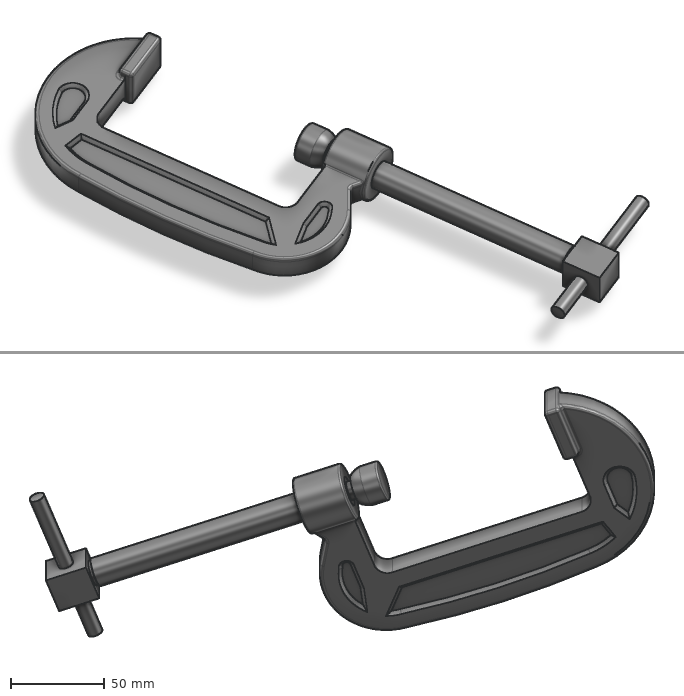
import cadquery as cq
import math


frame_thickness = 15.0
rim_fillet = 2.0
heel_radius = 53.3
heel_center = (heel_radius, -34.0)
heel_end_x = 49.6
throat_left = 37.1
throat_right = 160.6
throat_bottom = -51.4
throat_fillet = 7.5
toe_radius = 35.8
toe_center = (156.6, throat_bottom)
toe_end_x = 157.7
toe_top_angle = 29.0
frame_bottom = -90.0
waist = (180.0, -20.5)
waist_fillet = 2.0
neck_right = 184.5
neck_shoulder = -14.0
neck_top = -8.0

pocket_depth = 2.0
pocket_draft = 45.0
heel_pocket_rim = 9.5
toe_pocket_rim = 10.2
web_pocket_rim = 9.7
web_pocket_top = -61.1
web_pocket_left = 36.0
web_pocket_right = 152.8
heel_pocket_right = 27.4
heel_pocket_shoulder = -40.0
heel_pocket_crown = -31.4
toe_pocket_left = 170.8
toe_pocket_shoulder = -39.5
toe_pocket_crown = -35.8
heel_pocket_tip_angle = 224.5
toe_pocket_tip_angle = -46.5
web_pocket_left_tip = 33.0
web_pocket_right_tip = 165.8
pocket_waist = -55.3

anvil_left = 32.7
anvil_right = 41.4
anvil_length = 32.0
anvil_height = 25.0
anvil_fillet = 2.0
anvil_root_fillet = 2.0

boss_radius = 15.75
boss_left = 158.5
boss_right = 185.5
boss_fillet = 1.0
boss_root_fillet = 1.0
boss_root_top = 13.0

pad_left = 139.0
pad_radius = 11.0
pad_fillet = 1.0
pad_shoulder = 148.8
pad_back = 155.2
pad_back_radius = 8.0
pad_bulge = (152.4, 9.9)
neck_radius = 5.2
screw_radius = 8.0
overall_length = 328.64
head_length = 23.0
head_width = 20.5
relief_length = 1.7
relief_radius = 7.0
bar_diameter = 8.3
bar_top = 55.0
bar_length = 90.0


def on_circle(center, radius, angle):
    """Point on a circle, at an angle in degrees from +X."""
    turn = math.radians(angle)
    return (center[0] + radius * math.cos(turn), center[1] + radius * math.sin(turn))


def circle_at_x(center, radius, x, side):
    """Point of a circle at a given X, on its upper (+1) or lower (-1) half."""
    return (x, center[1] + side * math.sqrt(radius**2 - (x - center[0])**2))


def circle_at_y(center, radius, y, side):
    """Point of a circle at a given Y, on its right (+1) or left (-1) half."""
    return (center[0] + side * math.sqrt(radius**2 - (y - center[1])**2), y)


def make_plate():
    heel_top = circle_at_x(heel_center, heel_radius, anvil_left + anvil_fillet, 1)
    heel_end = circle_at_x(heel_center, heel_radius, heel_end_x, -1)
    toe_start = circle_at_x(toe_center, toe_radius, toe_end_x, -1)
    bottom_middle = ((heel_end_x + toe_end_x) / 2, frame_bottom)
    plate = (
        cq.Workplane("XY", origin=(0, 0, -frame_thickness / 2))
        .moveTo(*heel_top)
        .threePointArc((heel_center[0] - heel_radius, heel_center[1]), heel_end)
        .threePointArc(bottom_middle, toe_start)
        .threePointArc(
            on_circle(toe_center, toe_radius, -toe_top_angle),
            on_circle(toe_center, toe_radius, toe_top_angle),
        )
        .lineTo(*waist)
        .lineTo(neck_right, neck_shoulder)
        .lineTo(neck_right, neck_top)
        .lineTo(heel_top[0], neck_top)
        .close()
        .extrude(frame_thickness)
    )
    plate = plate.edges(cq.NearestToPointSelector((*waist, 0))).fillet(waist_fillet)
    plate = plate.faces("<Z or >Z").edges().fillet(rim_fillet)
    throat = (
        cq.Workplane("XY", origin=(0, 0, -frame_thickness / 2))
        .moveTo(throat_left, throat_bottom)
        .lineTo(throat_right, throat_bottom)
        .lineTo(throat_right, boss_radius)
        .lineTo(throat_left, boss_radius)
        .close()
        .extrude(frame_thickness)
        .edges("|Z and <Y")
        .fillet(throat_fillet)
    )
    return plate.cut(throat)


def heel_pocket_outline(plane):
    inner_radius = heel_radius - heel_pocket_rim
    left_shoulder = circle_at_y(heel_center, inner_radius, heel_pocket_shoulder, -1)
    tip = on_circle(heel_center, inner_radius, heel_pocket_tip_angle)
    side_angle = (180 + math.degrees(math.asin(
        (heel_center[1] - heel_pocket_shoulder) / inner_radius)) + heel_pocket_tip_angle) / 2
    crown = ((left_shoulder[0] + heel_pocket_right) / 2, heel_pocket_crown)
    return (
        plane.moveTo(*tip)
        .lineTo(heel_pocket_right, pocket_waist)
        .lineTo(heel_pocket_right, heel_pocket_shoulder)
        .threePointArc(crown, left_shoulder)
        .threePointArc(on_circle(heel_center, inner_radius, side_angle), tip)
        .close()
    )


def toe_pocket_outline(plane):
    inner_radius = toe_radius - toe_pocket_rim
    right_shoulder = circle_at_y(toe_center, inner_radius, toe_pocket_shoulder, 1)
    tip = on_circle(toe_center, inner_radius, toe_pocket_tip_angle)
    crown = ((right_shoulder[0] + toe_pocket_left) / 2, toe_pocket_crown)
    return (
        plane.moveTo(*tip)
        .threePointArc((toe_center[0] + inner_radius, toe_center[1]), right_shoulder)
        .threePointArc(crown, (toe_pocket_left, toe_pocket_shoulder))
        .lineTo(toe_pocket_left, pocket_waist)
        .close()
    )


def web_pocket_outline(plane):
    heel_inner_radius = heel_radius - web_pocket_rim
    toe_inner_radius = toe_radius - web_pocket_rim
    left = circle_at_x(heel_center, heel_inner_radius, web_pocket_left_tip, -1)
    heel_end = circle_at_x(heel_center, heel_inner_radius, heel_end_x, -1)
    heel_middle = circle_at_x(
        heel_center, heel_inner_radius, (web_pocket_left_tip + heel_end_x) / 2, -1)
    bottom_middle = ((heel_end_x + toe_end_x) / 2, frame_bottom + web_pocket_rim)
    toe_start = circle_at_x(toe_center, toe_inner_radius, toe_end_x, -1)
    right = circle_at_x(toe_center, toe_inner_radius, web_pocket_right_tip, -1)
    toe_middle = circle_at_x(
        toe_center, toe_inner_radius, (web_pocket_right_tip + toe_end_x) / 2, -1)
    return (
        plane.moveTo(web_pocket_left, web_pocket_top)
        .lineTo(*left)
        .threePointArc(heel_middle, heel_end)
        .threePointArc(bottom_middle, toe_start)
        .threePointArc(toe_middle, right)
        .lineTo(web_pocket_right, web_pocket_top)
        .close()
    )


def make_pockets():
    """Draft-sided pockets sunk in the top face and mirrored in the bottom face."""
    pockets = cq.Workplane("XY")
    for outline in (heel_pocket_outline, toe_pocket_outline, web_pocket_outline):
        face = cq.Workplane("XY", origin=(0, 0, frame_thickness / 2))
        pocket = outline(face).extrude(-pocket_depth, taper=pocket_draft)
        pockets = pockets.add(pocket).add(pocket.mirror("XY"))
    return pockets


def make_anvil():
    return (
        cq.Workplane("XY")
        .box(anvil_right - anvil_left, anvil_length, anvil_height)
        .edges()
        .fillet(anvil_fillet)
        .translate(((anvil_left + anvil_right) / 2, 0, 0))
    )


def x_cylinder(radius, start, end):
    return cq.Workplane("YZ", origin=(start, 0, 0)).circle(radius).extrude(end - start)


def fillet_root(frame, x_span, top, radius):
    """Round the seam where the plate runs into the anvil or the boss.

    The seam's edges lie within the plate thickness, inside x_span and below Y = top.
    The upright edge on the throat side, where there is one, stays sharp.
    """
    margin = 0.1
    seam = cq.selectors.BoxSelector(
        (x_span[0] - margin, -anvil_length / 2 - margin, -frame_thickness / 2 - margin),
        (x_span[1] + margin, top + margin, frame_thickness / 2 + margin),
        boundingbox=True,
    )
    return frame.edges(seam).edges("not(|Z and >X)").fillet(radius)


def make_frame():
    boss = x_cylinder(boss_radius, boss_left, boss_right).edges().fillet(boss_fillet)
    frame = make_plate().union(make_anvil())
    frame = fillet_root(frame, (anvil_left, throat_left), anvil_length / 2, anvil_root_fillet)
    frame = frame.union(boss)
    frame = fillet_root(frame, (boss_left, boss_right), -boss_root_top, boss_root_fillet)
    for pocket in make_pockets().vals():
        frame = frame.cut(cq.Workplane(pocket))
    bore = x_cylinder(screw_radius, boss_left, boss_right)
    return frame.cut(bore)


def make_screw():
    head_left = overall_length - head_length
    relief_left = head_left - relief_length
    turned = (
        cq.Workplane("XY")
        .moveTo(pad_left, 0)
        .lineTo(pad_left, pad_radius)
        .lineTo(pad_shoulder, pad_radius)
        .threePointArc(pad_bulge, (pad_back, pad_back_radius))
        .lineTo(pad_back, neck_radius)
        .lineTo(boss_left, neck_radius)
        .lineTo(boss_left, screw_radius)
        .lineTo(relief_left, screw_radius)
        .lineTo(relief_left, relief_radius)
        .lineTo(head_left, relief_radius)
        .lineTo(head_left, 0)
        .close()
        .revolve(360, (0, 0, 0), (1, 0, 0))
        .edges("<X")
        .fillet(pad_fillet)
    )
    head_middle = head_left + head_length / 2
    head = cq.Workplane("XY").box(head_length, head_width, head_width).translate((head_middle, 0, 0))
    bar = (
        cq.Workplane("XZ", origin=(head_middle, bar_top, 0))
        .circle(bar_diameter / 2)
        .extrude(bar_length)
    )
    return turned.union(head).union(bar)


frame = make_frame()
screw = make_screw()

result = cq.Compound.makeCompound([frame.val(), screw.val()])